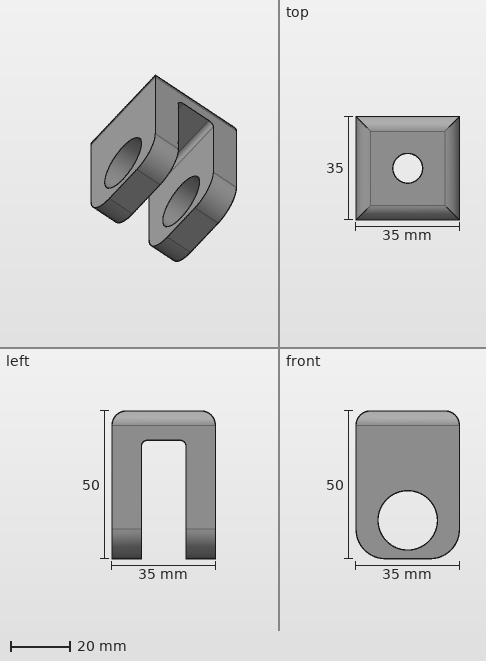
import cadquery as cq

width = 35.0
height = 50.0
top_round = 5.0
foot_round = 10.0

slot_width = 15.0
slot_depth = 40.0
slot_corner_round = 2.0

pin_diameter = 20.0
pin_height = 13.0
shank_diameter = 10.0


def make_block():
    """Square block with rounded top edges and rounded arm ends."""
    block = cq.Workplane("XY").box(width, width, height, centered=(True, True, False))
    block = block.faces("<Z").edges("|Y").fillet(foot_round)
    return block.faces(">Z").edges().fillet(top_round)


def make_slot():
    """Slot along X, open at the bottom, with rounded inner corners."""
    slot = cq.Workplane("XY").box(width, slot_width, slot_depth, centered=(True, True, False))
    return slot.faces(">Z").edges("|X").fillet(slot_corner_round)


def make_pin_hole():
    """Cross hole along Y through both arms."""
    hole = cq.Workplane("XZ").center(0, pin_height).circle(pin_diameter / 2)
    return hole.extrude(width / 2, both=True)


def make_shank_hole():
    """Vertical hole through the bridge into the slot."""
    bridge_thickness = height - slot_depth
    hole = cq.Workplane("XY").workplane(offset=slot_depth).circle(shank_diameter / 2)
    return hole.extrude(bridge_thickness)


result = make_block().cut(make_slot()).cut(make_pin_hole()).cut(make_shank_hole())